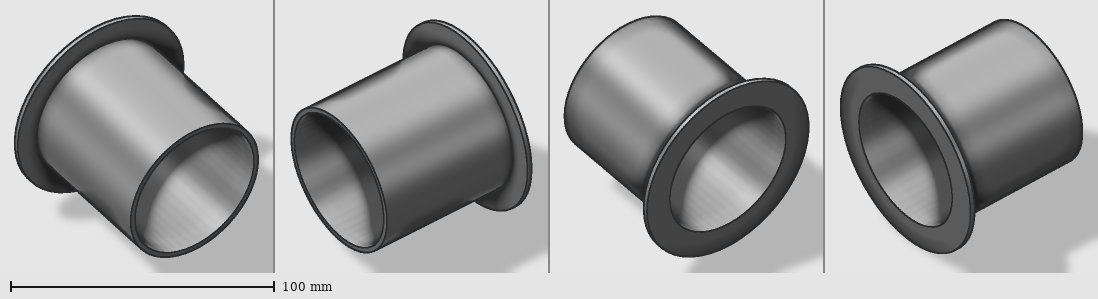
import cadquery as cq

flange_diameter = 78.0
flange_thickness = 2.0
overall_length = 62.0
tube_diameter = 60.0
wall_thickness = 2.0
bore_diameter = tube_diameter - 2 * wall_thickness


def cylinder_along_x(diameter, length):
    """Solid cylinder centred on the X axis, starting at X = 0."""
    return cq.Workplane("YZ").circle(diameter / 2).extrude(length)


flange = cylinder_along_x(flange_diameter, flange_thickness)
tube = cylinder_along_x(tube_diameter, overall_length)
bore = cylinder_along_x(bore_diameter, overall_length)

result = flange.union(tube).cut(bore)